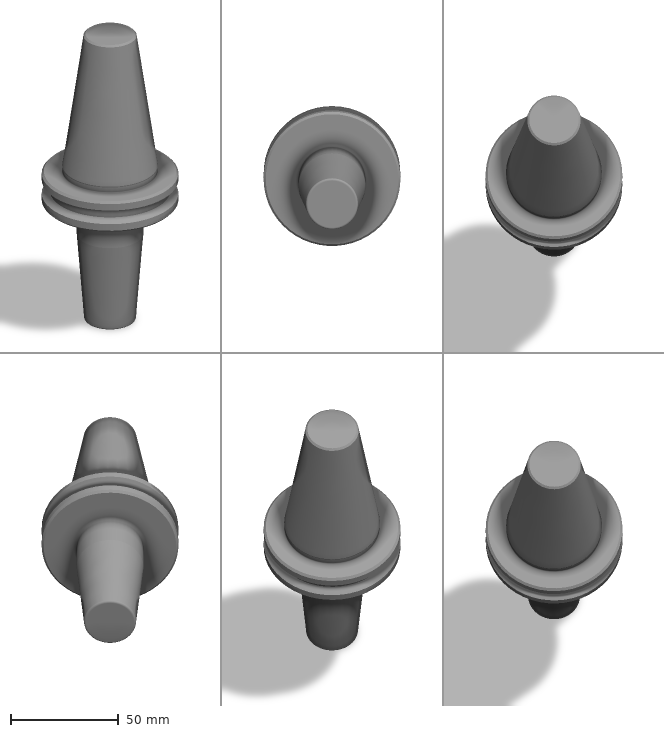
import cadquery as cq
import math


gauge_radius = 44.45 / 2
taper_length = 68.4
taper_half_angle = math.atan(7 / 48)
taper_end_chamfer = 0.8

neck_radius = 22.1
neck_bevel_height = 0.5
neck_fillet = 0.4

flange_radius = 63.5 / 2
flange_top_z = -3.2
flange_bottom_z = -19.1
flange_chamfer = 1.0
groove_center_z = -11.1
groove_floor_radius = 56.25 / 2
groove_floor_width = 3.75
groove_mouth_width = 7.1

nose_z = -80.0
nose_radius = 12.0
nose_half_angle = math.radians(4.5)
nose_fillet = 1.0
cone_start_z = -35.5
shank_fillet = 1.5

taper_end_radius = gauge_radius - taper_length * math.tan(taper_half_angle)
shank_radius = nose_radius + (cone_start_z - nose_z) * math.tan(nose_half_angle)


def upper_profile(outline):
    """Continue the half outline from the axis at the small end down to the flange face."""
    chamfer_radius = taper_end_radius + taper_end_chamfer * math.tan(taper_half_angle)
    return (
        outline.lineTo(taper_end_radius - taper_end_chamfer, taper_length)
        .lineTo(chamfer_radius, taper_length - taper_end_chamfer)
        .lineTo(gauge_radius, 0)
        .lineTo(neck_radius, -neck_bevel_height)
        .lineTo(neck_radius, flange_top_z + neck_fillet)
        .radiusArc((neck_radius + neck_fillet, flange_top_z), -neck_fillet)
    )


def flange_profile(outline):
    """Continue the half outline around the chamfered flange and its groove."""
    half_floor = groove_floor_width / 2
    half_mouth = groove_mouth_width / 2
    return (
        outline.lineTo(flange_radius - flange_chamfer, flange_top_z)
        .lineTo(flange_radius, flange_top_z - flange_chamfer)
        .lineTo(flange_radius, groove_center_z + half_mouth)
        .lineTo(groove_floor_radius, groove_center_z + half_floor)
        .lineTo(groove_floor_radius, groove_center_z - half_floor)
        .lineTo(flange_radius, groove_center_z - half_mouth)
        .lineTo(flange_radius, flange_bottom_z + flange_chamfer)
        .lineTo(flange_radius - flange_chamfer, flange_bottom_z)
    )


def shank_profile(outline):
    """Continue the half outline from the flange underside to the axis at the nose."""
    tangent_length = nose_fillet * math.tan((math.pi / 2 - nose_half_angle) / 2)
    fillet_top_radius = nose_radius + tangent_length * math.sin(nose_half_angle)
    fillet_top_z = nose_z + tangent_length * math.cos(nose_half_angle)
    return (
        outline.lineTo(shank_radius + shank_fillet, flange_bottom_z)
        .radiusArc((shank_radius, flange_bottom_z - shank_fillet), -shank_fillet)
        .lineTo(shank_radius, cone_start_z)
        .lineTo(fillet_top_radius, fillet_top_z)
        .radiusArc((nose_radius - tangent_length, nose_z), nose_fillet)
        .lineTo(0, nose_z)
    )


half_outline = cq.Workplane("XZ").moveTo(0, taper_length)
half_outline = upper_profile(half_outline)
half_outline = flange_profile(half_outline)
half_outline = shank_profile(half_outline)

result = half_outline.close().revolve(360, (0, 0, 0), (0, 1, 0))